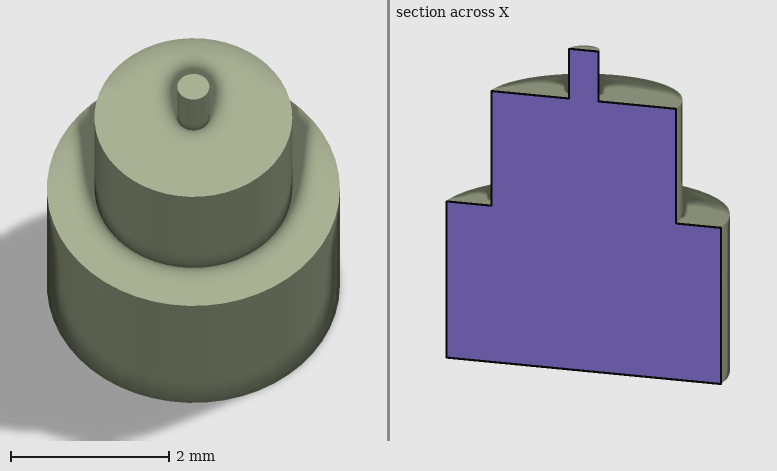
import cadquery as cq

total_height = 4.2
base_height = 2.05
collar_height = 1.5
pin_height = total_height - base_height - collar_height

base_diameter = 3.7
collar_diameter = 2.5
pin_diameter = 0.405


def add_cylinder(body, diameter, height):
    """Stack a coaxial cylinder on the top face of the body."""
    return body.faces(">Z").workplane().circle(diameter / 2).extrude(height)


base = cq.Workplane("XY").circle(base_diameter / 2).extrude(base_height)
base_and_collar = add_cylinder(base, collar_diameter, collar_height)
result = add_cylinder(base_and_collar, pin_diameter, pin_height)